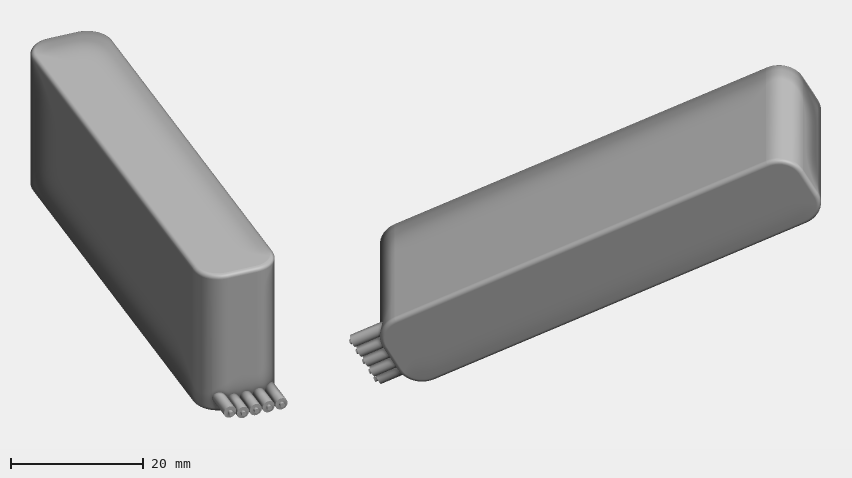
import cadquery as cq

total_length = 76.2
case_length = 71.6
case_width = 13.0
case_height = 24.5
corner_radius = 4.1
rim_radius = 0.7

wire_diameter = 2.0
core_diameter = 0.8
wire_end_x = 75.5
socket_depth = 1.9
wire_root_x = case_length - socket_depth
wire_row_span = 8.4
loose_wire_count = 4
wire_pitch = wire_row_span / loose_wire_count

fixed_wire_y = -3.7
fixed_wire_z = 2.5
loose_wire_z = 1.9
loose_core_end_x = 76.0


def rod(diameter, start_x, end_x, y, z):
    """Round rod along X from start_x to end_x."""
    return (
        cq.Workplane("YZ", origin=(start_x, y, z))
        .circle(diameter / 2)
        .extrude(end_x - start_x)
    )


def make_wire(y, z, core_end_x):
    """Insulated wire with a thinner core showing at its free end."""
    insulation = rod(wire_diameter, wire_root_x, wire_end_x, y, z)
    core = rod(core_diameter, wire_end_x, core_end_x, y, z)
    return insulation.union(core)


def make_case():
    """Rounded box with rounded top and bottom rims."""
    return (
        cq.Workplane("XY")
        .box(case_length, case_width, case_height, centered=(False, True, False))
        .edges("|Z")
        .fillet(corner_radius)
        .faces("<Z or >Z")
        .edges()
        .fillet(rim_radius)
    )


loose_wires = []
for index in range(1, loose_wire_count + 1):
    wire_y = fixed_wire_y + index * wire_pitch
    loose_wires.append(make_wire(wire_y, loose_wire_z, loose_core_end_x))

case = make_case()
for wire in loose_wires:
    case = case.cut(wire)
case = case.union(make_wire(fixed_wire_y, fixed_wire_z, total_length))

result = cq.Compound.makeCompound([case.val(), *[wire.val() for wire in loose_wires]])